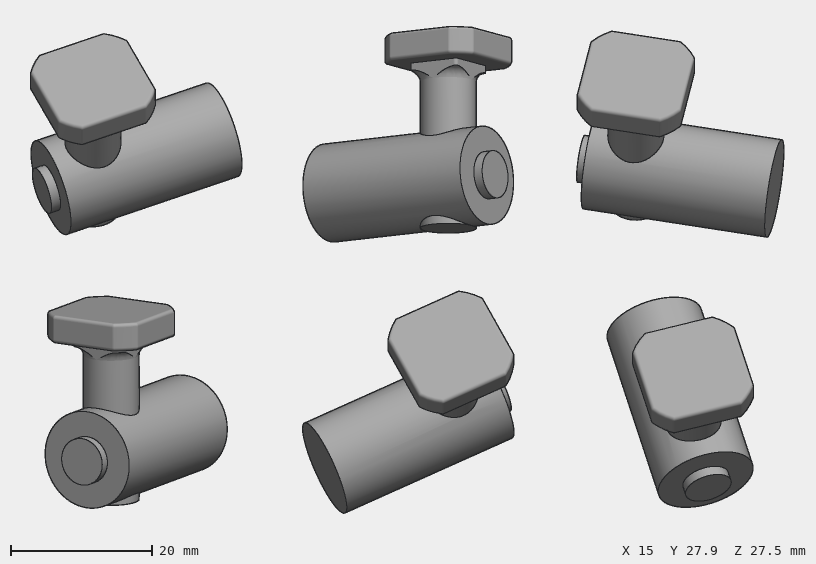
import cadquery as cq

overall_length = 27.9
overall_height = 27.5
barrel_diameter = 14.0
barrel_radius = barrel_diameter / 2
boss_diameter = 6.75
boss_length = 1.4
barrel_length = overall_length - boss_length
stem_to_barrel_front = 6.5

stem_diameter = 7.95
stem_radius = stem_diameter / 2
neck_corner_radius = 0.5
neck_straight_height = 1.0
neck_flare_radius = 1.5

plate_width = 15.0
plate_trim_diameter = 18.0
plate_thickness = 4.0
plate_edge_radius = 0.5

stem_bottom = -barrel_radius
plate_top = stem_bottom + overall_height
plate_bottom = plate_top - plate_thickness
flare_top = plate_bottom - neck_straight_height
flare_bottom = flare_top - neck_flare_radius


def y_cylinder(diameter, y_start, length):
    """Cylinder on the barrel axis, running from y_start toward +Y."""
    plane = cq.Plane(origin=(0, y_start, 0), xDir=(1, 0, 0), normal=(0, 1, 0))
    return cq.Workplane(plane).circle(diameter / 2).extrude(length)


def make_barrel():
    barrel = y_cylinder(barrel_diameter, -stem_to_barrel_front, barrel_length)
    boss_front = -stem_to_barrel_front - boss_length
    boss = y_cylinder(boss_diameter, boss_front, boss_length + barrel_length / 2)
    return barrel.union(boss)


def make_stem():
    height = flare_bottom - stem_bottom
    return cq.Workplane("XY", origin=(0, 0, stem_bottom)).circle(stem_radius).extrude(height)


def make_neck():
    """Rounded square neck blended down to the round stem by a concave flare."""
    square = (
        cq.Workplane("XY", origin=(0, 0, flare_bottom))
        .rect(stem_diameter, stem_diameter)
        .extrude(plate_bottom - flare_bottom)
        .edges("|Z")
        .fillet(neck_corner_radius)
    )
    flare_outer_radius = stem_radius + neck_flare_radius
    flare = (
        cq.Workplane("XZ")
        .moveTo(0, flare_bottom)
        .lineTo(stem_radius, flare_bottom)
        .radiusArc((flare_outer_radius, flare_top), neck_flare_radius)
        .lineTo(flare_outer_radius, plate_bottom)
        .lineTo(0, plate_bottom)
        .close()
        .revolve(360, (0, 0, 0), (0, 1, 0))
    )
    return square.intersect(flare)


def make_plate():
    base = cq.Workplane("XY", origin=(0, 0, plate_bottom))
    square = base.rect(plate_width, plate_width).extrude(plate_thickness)
    trim = base.circle(plate_trim_diameter / 2).extrude(plate_thickness)
    return square.intersect(trim).edges().fillet(plate_edge_radius)


result = make_barrel().union(make_stem()).union(make_neck()).union(make_plate())